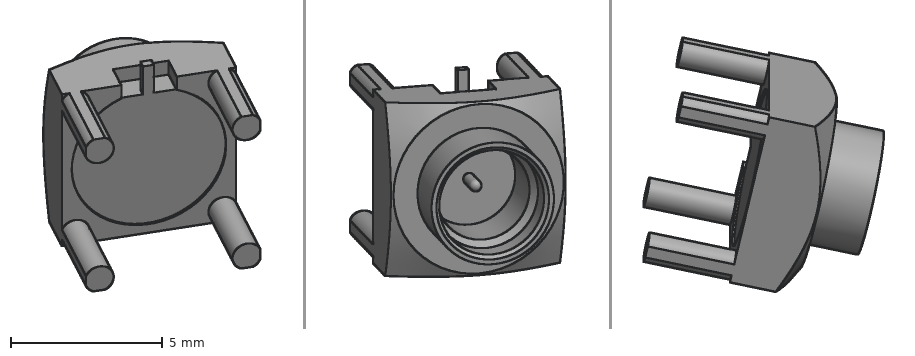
import cadquery as cq
import math

body_width = 5.99
body_front = 1.775
body_back = 4.09
half_width = body_width / 2

bevel_radius = 2.915
bevel_angle = 30

barrel_radius = 2.095
mouth_radius = 1.93
mouth_chamfer = 0.13
guide_length = 0.77
bore_radius = 1.585
bore_taper_length = 0.295
bore_depth = 3.0

contact_radius = 0.195
contact_tip = 1.96

total_length = 7.01
post_radius = 0.5
post_offset = 2.54

window_width = 1.91
window_front = 3.085
window_depth = 0.55
recess_radius = 2.65
recess_depth = 0.08

pin_width = 0.38
pin_thickness = 0.3
pin_height = 0.555
pin_embed = 0.14


def x_cylinder(radius, start, end, y=0, z=0):
    """Cylinder parallel to X between two X positions."""
    return cq.Workplane("YZ", origin=(start, y, z)).circle(radius).extrude(end - start)


def block(start, end, width, bottom, top):
    """Box centred on Y between two X positions and two heights."""
    size = (end - start, width, top - bottom)
    return cq.Workplane("XY").box(*size, centered=(False, True, False)).translate((start, 0, bottom))


def revolve_about_x(profile):
    """Full turn of a closed XY profile about the connector axis."""
    return profile.revolve(360, (0, 0, 0), (1, 0, 0))


def make_body():
    square = block(body_front, body_back, body_width, -half_width, half_width)
    bevel_limit = bevel_radius + (body_back - body_front) / math.tan(math.radians(bevel_angle))
    cone = revolve_about_x(
        cq.Workplane("XY")
        .moveTo(body_front, 0)
        .lineTo(body_front, bevel_radius)
        .lineTo(body_back, bevel_limit)
        .lineTo(body_back, 0)
        .close()
    )
    return square.intersect(cone)


def make_bore():
    guide_radius = mouth_radius - mouth_chamfer
    taper_start = mouth_chamfer + guide_length
    return revolve_about_x(
        cq.Workplane("XY")
        .lineTo(0, mouth_radius)
        .lineTo(mouth_chamfer, guide_radius)
        .lineTo(taper_start, guide_radius)
        .lineTo(taper_start + bore_taper_length, bore_radius)
        .lineTo(bore_depth, bore_radius)
        .lineTo(bore_depth, 0)
        .close()
    )


def make_contact():
    dome_centre = contact_tip + contact_radius
    dome = cq.Workplane("XY").sphere(contact_radius).translate((dome_centre, 0, 0))
    return x_cylinder(contact_radius, dome_centre, body_back - 2 * recess_depth).union(dome)


def make_posts():
    posts = cq.Workplane("XY")
    for y in (-post_offset, post_offset):
        for z in (-post_offset, post_offset):
            posts = posts.union(x_cylinder(post_radius, body_back, total_length, y, z))
    envelope = block(body_back, total_length, body_width, -half_width, half_width)
    return posts.intersect(envelope)


def make_pin():
    pin_back = body_back - recess_depth
    pin_bottom = half_width - window_depth - pin_embed
    return block(pin_back - pin_thickness, pin_back, pin_width, pin_bottom, half_width + pin_height)


window = block(window_front, body_back, window_width, half_width - window_depth, half_width)
back_recess = x_cylinder(recess_radius, body_back - recess_depth, body_back)

result = (
    make_body()
    .union(x_cylinder(barrel_radius, 0, body_front))
    .cut(make_bore())
    .cut(window)
    .cut(back_recess)
    .union(make_posts())
    .union(make_contact())
    .union(make_pin())
)